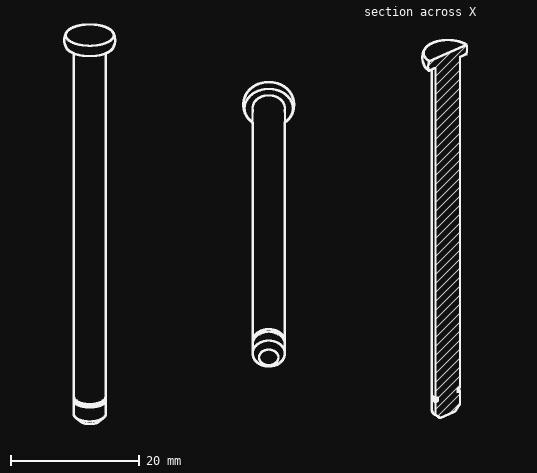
import cadquery as cq

total_length = 67.0

head_diameter = 8.0
head_height = 1.8
head_face_diameter = 7.5

shaft_diameter = 5.0
tip_chamfer = 1.0

groove_diameter = 4.0
groove_width = 0.6
groove_height = 3.4

tip_z = -total_length / 2
head_top_z = total_length / 2
head_bottom_z = head_top_z - head_height


def make_shaft():
    """Round shaft with a chamfered tip."""
    shaft = cq.Workplane("XY", origin=(0, 0, tip_z)).circle(shaft_diameter / 2).extrude(total_length)
    return shaft.faces("<Z").chamfer(tip_chamfer)


def make_head():
    """Flat head whose rim bulges outward in a single arc."""
    face_radius = head_face_diameter / 2
    rim_middle = (head_diameter / 2, head_top_z - head_height / 2)
    return (
        cq.Workplane("XZ")
        .moveTo(0, head_bottom_z)
        .lineTo(face_radius, head_bottom_z)
        .threePointArc(rim_middle, (face_radius, head_top_z))
        .lineTo(0, head_top_z)
        .close()
        .revolve(360, (0, 0, 0), (0, 1, 0))
    )


def make_groove():
    """Ring removed from the shaft for a retaining clip."""
    return (
        cq.Workplane("XY", origin=(0, 0, tip_z + groove_height))
        .circle(shaft_diameter / 2)
        .circle(groove_diameter / 2)
        .extrude(groove_width)
    )


result = make_shaft().union(make_head()).cut(make_groove())